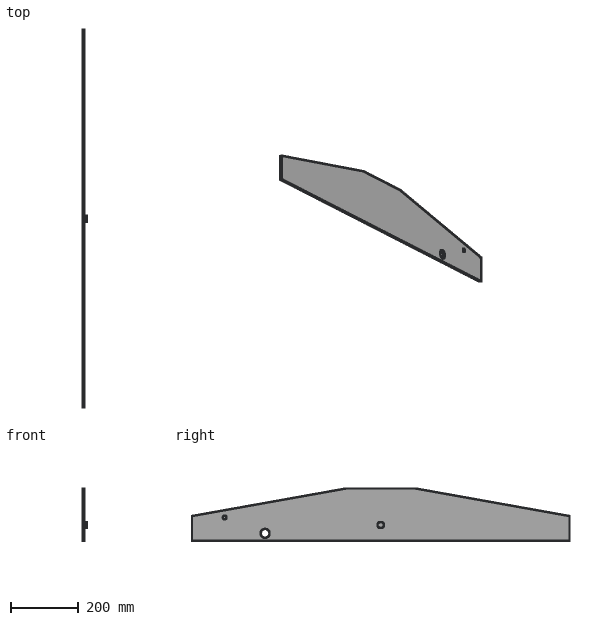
import cadquery as cq

plate_length = 1116.0
plate_height = 155.0
end_height = 74.0
crest_length = 205.0
total_depth = 15.0
plate_thickness = 6.0

large_hole_diameter = 26.0
large_hole_y = -341.0
large_hole_z = 22.0
small_hole_diameter = 9.9
small_hole_y = -461.0
small_hole_z = 69.0

neck_diameter = 12.0
neck_length = 1.7
head_diameter = 19.0
head_length = total_depth - plate_thickness - neck_length
knob_z = 47.0


def cylinder_along_x(diameter, y, z, start_x, length):
    plane = cq.Workplane("YZ", origin=(start_x, y, z))
    return plane.circle(diameter / 2).extrude(length)


def make_plate():
    half_length = plate_length / 2
    half_crest = crest_length / 2
    outline = [
        (-half_length, 0),
        (half_length, 0),
        (half_length, end_height),
        (half_crest, plate_height),
        (-half_crest, plate_height),
        (-half_length, end_height),
    ]
    return cq.Workplane("YZ").polyline(outline).close().extrude(plate_thickness)


def drill_plate(plate, diameter, y, z):
    return plate.cut(cylinder_along_x(diameter, y, z, 0, plate_thickness))


plate = make_plate()
plate = drill_plate(plate, large_hole_diameter, large_hole_y, large_hole_z)
plate = drill_plate(plate, small_hole_diameter, small_hole_y, small_hole_z)
neck = cylinder_along_x(neck_diameter, 0, knob_z, plate_thickness, neck_length)
head = cylinder_along_x(head_diameter, 0, knob_z, plate_thickness + neck_length, head_length)
result = plate.union(neck).union(head)